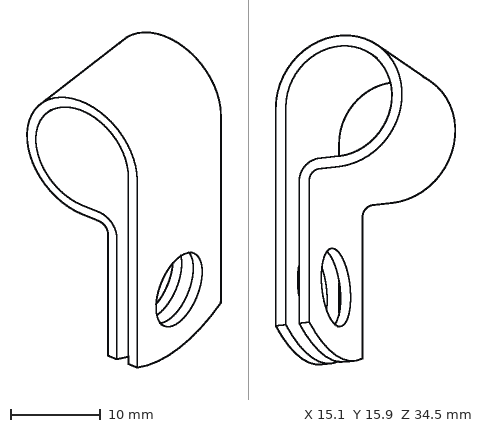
import cadquery as cq
import math

width = 15.88
thickness = 1.219
loop_inner_radius = 6.35
loop_outer_radius = loop_inner_radius + thickness
total_height = 34.47

leg_gap = 1.59
bend_inner_radius = thickness
bend_outer_radius = bend_inner_radius + thickness

hole_diameter = 8.73
hole_depth_below_loop_center = 19.05
end_arc_radius = 19.05

tip_z = loop_outer_radius - total_height
end_sagitta = end_arc_radius - math.sqrt(end_arc_radius**2 - (width / 2) ** 2)
short_leg_outer_x = loop_inner_radius - leg_gap
short_leg_inner_x = short_leg_outer_x - thickness
bend_center_x = short_leg_outer_x - bend_outer_radius
bend_center_z = -loop_inner_radius - bend_outer_radius


def bend_midpoint(radius):
    """Point halfway around the quarter bend at the given radius."""
    offset = radius * math.sqrt(0.5)
    return (bend_center_x + offset, bend_center_z + offset)


def loop_midpoint(radius):
    """Upper left point of the loop, halfway along its three-quarter arc."""
    offset = radius * math.sqrt(0.5)
    return (-offset, offset)


def make_strap():
    """Bent strip of constant thickness, centered on Y."""
    return (
        cq.Workplane("XZ")
        .moveTo(loop_outer_radius, tip_z)
        .lineTo(loop_outer_radius, 0)
        .threePointArc(loop_midpoint(loop_outer_radius), (0, -loop_outer_radius))
        .lineTo(bend_center_x, -loop_outer_radius)
        .threePointArc(bend_midpoint(bend_inner_radius), (short_leg_inner_x, bend_center_z))
        .lineTo(short_leg_inner_x, tip_z)
        .lineTo(short_leg_outer_x, tip_z)
        .lineTo(short_leg_outer_x, bend_center_z)
        .threePointArc(bend_midpoint(bend_outer_radius), (bend_center_x, -loop_inner_radius))
        .lineTo(0, -loop_inner_radius)
        .threePointArc(loop_midpoint(loop_inner_radius), (loop_inner_radius, 0))
        .lineTo(loop_inner_radius, tip_z)
        .close()
        .extrude(width / 2, both=True)
    )


def make_side_outline():
    """Block with the strap's side outline: straight sides and an arc at the bottom."""
    corner_z = tip_z + end_sagitta
    return (
        cq.Workplane("YZ")
        .moveTo(-width / 2, loop_outer_radius)
        .lineTo(-width / 2, corner_z)
        .threePointArc((0, tip_z), (width / 2, corner_z))
        .lineTo(width / 2, loop_outer_radius)
        .close()
        .extrude(loop_outer_radius, both=True)
    )


def make_hole():
    """Cylinder along X that pierces both legs."""
    return (
        cq.Workplane("YZ")
        .center(0, -hole_depth_below_loop_center)
        .circle(hole_diameter / 2)
        .extrude(loop_outer_radius, both=True)
    )


result = make_strap().intersect(make_side_outline()).cut(make_hole())